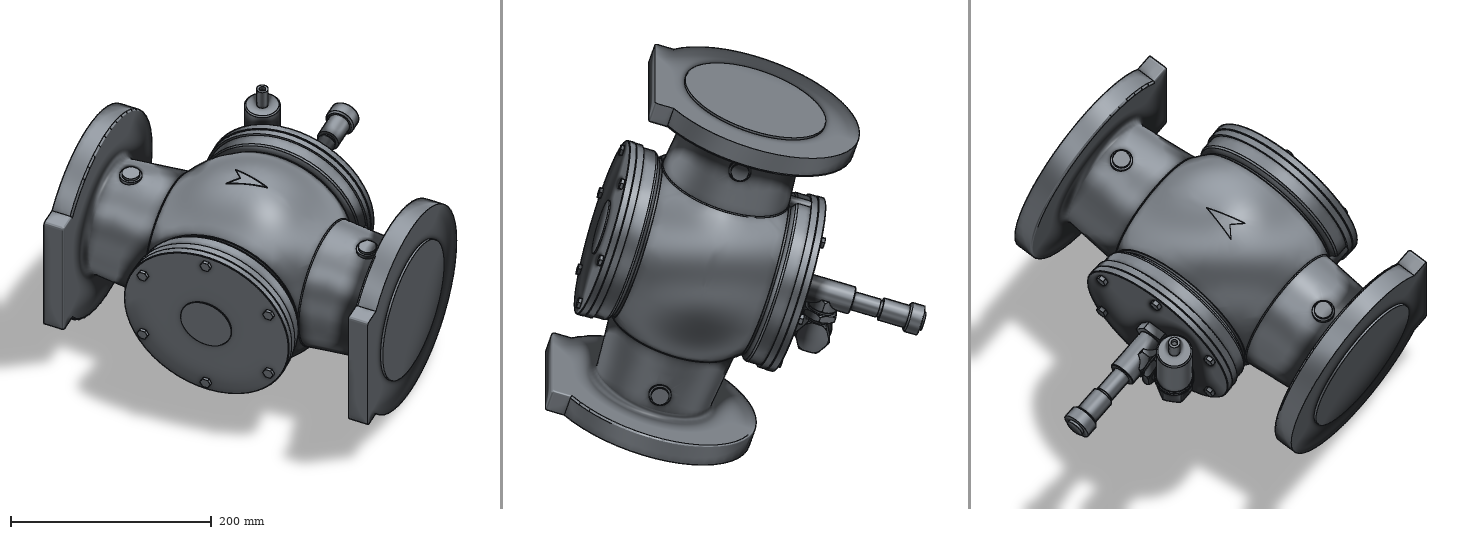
import cadquery as cq
import math

LENGTH = 360.0
FACE_HEIGHT = 2.5
FACE_RADIUS = 73.8
FLANGE_DIAMETER = 220.0
FLANGE_THICKNESS = 22.0
FLANGE_EDGE = 2.0
FOOT_HALF_HEIGHT = 70.0
FOOT_REACH = 104.8
FOOT_CORNER = 3.2

NECK_END_RADIUS = 60.5
NECK_ROOT_RADIUS = 66.2
NECK_FILLET = 7.2
NECK_ROOT_EASE = 0.7
GLOBE_RADIUS = 107.0

COLLAR_RADIUS = 82.5
COLLAR_START = 66.2
COLLAR_END = 68.8
SEAT_RADIUS = 88.0
SEAT_LIP_RADIUS = 86.8
SEAT_LIP = 72.5
SEAT_START = 74.5
SEAT_END = 88.0
GASKET_RADIUS = 90
GASKET_END = 95.0
JOINT_RADIUS = 89.0
JOINT_END = 95.8
COVER_RADIUS = 90.5
COVER_END = 103.0
COVER_EDGE = 0.7

COVER_PAD_RADIUS = 27.7
COVER_PAD_HEIGHT = 1.5

BOLT_COUNT = 6
BOLT_CIRCLE_RADIUS = 79.5
BOLT_ACROSS_CORNERS = 11.5
FRONT_BOLT_HEIGHT = 3.2
BACK_BOLT_HEIGHT = 4.5

PLUG_X = 129.5
PLUG_BASE_RADIUS = 11.0
PLUG_BASE_TOP = 64.8
PLUG_RADIUS = 9.0
PLUG_TOP = 67.5

PIN_X = 83.5
PIN_RADIUS = 7.2
PIN_START = 65.5
PIN_END_ROUND = 2.0

ARROW_TIP = 20.0
ARROW_NOTCH = 9.7
ARROW_HALF_WIDTH = 11.0
ARROW_HEIGHT = 0.9

STEM_HEX_ACROSS_CORNERS = 40.5
STEM_BLOCK_START = 112.0
STEM_BLOCK_END = 159.0
STEM_BLOCK_RADIUS = 14.0
STEM_BLOCK_EDGE = 0.7
STEM_ROD_RADIUS = 9.5
STEM_GROOVE_START = 187.0
STEM_GROOVE_END = 189.7
STEM_GROOVE_RADIUS = 8.3
STEM_SLEEVE_RADIUS = 11.5
STEM_CAP_START = 216.7
STEM_CAP_RADIUS = 15.0
STEM_CAP_END = 231.0
STEM_CAP_EDGE = 1.8
STEM_END = 234.0

ACTUATOR_X = -45.7
ACTUATOR_Y = 132.5
ACTUATOR_HEX_ACROSS_CORNERS = 36.5
ACTUATOR_HEX_BOTTOM = -13.0
HEX_CORNER_EASE = 1.8
ACTUATOR_RIM_BOTTOM = 12.0
ACTUATOR_RIM_TOP = 18.5
ACTUATOR_RIM_RADIUS = 19.8
ACTUATOR_RIM_EDGE = 1.0
ACTUATOR_RADIUS = 18.0
ACTUATOR_TOP = 80.5
ACTUATOR_EDGE = 1.5
SPINDLE_RADIUS = 5.8
SPINDLE_TOP = 102.0
SOCKET_RADIUS = 3.2
SOCKET_DEPTH = 5.5

UNION_RADIUS = 10.8
NUT_ACROSS_FLATS = 32.5
NUT_START = -25.5
NUT_END = -18.0
UNION_COLLAR_RADIUS = 13.5
UNION_HEX_START = -15.5
UNION_HEX_ACROSS_FLATS = 28.0
UNION_HEX_END = -2.5

FLANGE_FACE = LENGTH / 2 - FACE_HEIGHT
FLANGE_BACK = FLANGE_FACE - FLANGE_THICKNESS
NECK_END = FLANGE_BACK - NECK_FILLET
NECK_ROOT = math.sqrt(GLOBE_RADIUS**2 - NECK_ROOT_RADIUS**2)
BEVEL_RADIUS = NECK_ROOT_RADIUS + NECK_ROOT_EASE
BEVEL_X = math.sqrt(GLOBE_RADIUS**2 - BEVEL_RADIUS**2)
HEX_CORNER_RATIO = 2 / math.sqrt(3)


def revolve_about_y(points):
    """Revolve a closed (radius, y) outline about the Y axis."""
    return cq.Workplane("XY").polyline(points).close().revolve(360, (0, 0, 0), (0, 1, 0))


def hexagon_along_y(across_corners, start, end, x=0, z=0):
    """Hexagonal bar along Y with two corners on the X direction."""
    plane = cq.Plane(origin=(x, start, z), xDir=(1, 0, 0), normal=(0, 1, 0))
    return cq.Workplane(plane).polygon(6, across_corners).extrude(end - start)


def hexagon_along_x(across_flats, start, end, y):
    """Hexagonal bar along X with two corners on the Z direction and eased end corners."""
    across_corners = across_flats * HEX_CORNER_RATIO
    plane = cq.Plane(origin=(start, y, 0), xDir=(0, 0, 1), normal=(1, 0, 0))
    envelope = cq.Workplane(plane).circle(across_corners / 2).extrude(end - start)
    envelope = envelope.faces("<X or >X").edges().chamfer(HEX_CORNER_EASE)
    return cq.Workplane(plane).polygon(6, across_corners).extrude(end - start).intersect(envelope)


def bar_along_x(radius, start, end, y):
    """Round bar along X."""
    return cq.Workplane("YZ", origin=(start, y, 0)).circle(radius).extrude(end - start)


def post(radius, bottom, top, x, y):
    """Upright cylinder."""
    return cq.Workplane("XY", origin=(x, y, bottom)).circle(radius).extrude(top - bottom)


def make_flange():
    """Flange on the +X end: round plate squared off by a flat foot, with a raised face."""
    plate = (
        cq.Workplane("YZ", origin=(FLANGE_BACK, 0, 0))
        .circle(FLANGE_DIAMETER / 2)
        .extrude(FLANGE_THICKNESS)
    )
    foot = (
        cq.Workplane("XY", origin=(FLANGE_BACK + FLANGE_THICKNESS / 2, -FOOT_REACH / 2, 0))
        .box(FLANGE_THICKNESS, FOOT_REACH, 2 * FOOT_HALF_HEIGHT)
    )
    below_foot = cq.Workplane("XY", origin=(0, -FOOT_REACH - LENGTH / 2, 0)).box(2 * LENGTH, LENGTH, LENGTH)
    plate = plate.union(foot).cut(below_foot)
    plate = plate.edges("|X and <Y").fillet(FOOT_CORNER)
    plate = plate.faces("<X").edges().fillet(FLANGE_EDGE)
    face = cq.Workplane("YZ", origin=(FLANGE_FACE, 0, 0)).circle(FACE_RADIUS).extrude(FACE_HEIGHT)
    return plate.union(face)


def make_neck():
    """Conical neck on the +X end, bevelled at the globe and flaring into the flange."""
    sweep = NECK_FILLET * (1 - math.sqrt(0.5))
    return (
        cq.Workplane("XY")
        .lineTo(0, BEVEL_RADIUS)
        .lineTo(BEVEL_X, BEVEL_RADIUS)
        .lineTo(NECK_ROOT + NECK_ROOT_EASE, NECK_ROOT_RADIUS)
        .lineTo(NECK_END, NECK_END_RADIUS)
        .threePointArc(
            (FLANGE_BACK - sweep, NECK_END_RADIUS + sweep),
            (FLANGE_BACK, NECK_END_RADIUS + NECK_FILLET),
        )
        .lineTo(FLANGE_BACK, 0)
        .close()
        .revolve(360, (0, 0, 0), (1, 0, 0))
    )


def make_cover():
    """Waist, seat, gasket band and cover on the +Y side."""
    return revolve_about_y([
        (0, 0),
        (COLLAR_RADIUS, 0),
        (COLLAR_RADIUS, COLLAR_END),
        (SEAT_LIP_RADIUS, SEAT_LIP),
        (SEAT_RADIUS, SEAT_START),
        (SEAT_RADIUS, SEAT_END),
        (GASKET_RADIUS, SEAT_END),
        (GASKET_RADIUS, GASKET_END),
        (JOINT_RADIUS, GASKET_END),
        (JOINT_RADIUS, JOINT_END),
        (COVER_RADIUS, JOINT_END),
        (COVER_RADIUS, COVER_END - COVER_EDGE),
        (COVER_RADIUS - COVER_EDGE, COVER_END),
        (0, COVER_END),
    ])


def make_globe():
    """Spherical middle, cut off flat where the cover waists begin."""
    slab = cq.Workplane("XY").box(LENGTH, 2 * COLLAR_START, LENGTH)
    return cq.Workplane("XY").sphere(GLOBE_RADIUS).intersect(slab)


def make_bolts(start, end):
    """Ring of bolt heads, one of them at the top."""
    heads = cq.Workplane("XY")
    for index in range(BOLT_COUNT):
        angle = math.radians(90 + index * 360 / BOLT_COUNT)
        x = BOLT_CIRCLE_RADIUS * math.cos(angle)
        z = BOLT_CIRCLE_RADIUS * math.sin(angle)
        heads = heads.add(hexagon_along_y(BOLT_ACROSS_CORNERS, start, end, x, z))
    return heads


def make_plugs():
    """Stepped screw plugs running through both necks, showing above and below."""
    plugs = cq.Workplane("XY")
    for x in (-PLUG_X, PLUG_X):
        plugs = plugs.add(post(PLUG_BASE_RADIUS, -PLUG_BASE_TOP, PLUG_BASE_TOP, x, 0))
        plugs = plugs.add(post(PLUG_RADIUS, -PLUG_TOP, PLUG_TOP, x, 0))
    return plugs


def make_pin():
    """Stop pin beside the back cover on the +X side, rounded at its free end."""
    plane = cq.Plane(origin=(PIN_X, SEAT_END, 0), xDir=(1, 0, 0), normal=(0, -1, 0))
    pin = cq.Workplane(plane).circle(PIN_RADIUS).extrude(SEAT_END - PIN_START)
    return pin.faces("<Y").edges().fillet(PIN_END_ROUND)


def make_arrow():
    """Flow arrow that stands proud of the top of the globe and follows its curve."""
    outline = [
        (ARROW_TIP, 0),
        (-ARROW_TIP, ARROW_HALF_WIDTH),
        (-ARROW_NOTCH, 0),
        (-ARROW_TIP, -ARROW_HALF_WIDTH),
    ]
    prism = cq.Workplane("XY").polyline(outline).close().extrude(LENGTH)
    return prism.intersect(cq.Workplane("XY").sphere(GLOBE_RADIUS + ARROW_HEIGHT))


def turned_half_round(shape):
    """The shape rotated by half a turn about Z."""
    return shape.rotate((0, 0, 0), (0, 0, 1), 180)


def make_housing():
    globe_end = make_neck().union(make_flange())
    cover = make_cover()
    pin = make_pin()
    pad_end = COVER_END + COVER_PAD_HEIGHT
    pad = cq.Workplane("XZ").circle(COVER_PAD_RADIUS).extrude(pad_end)

    housing = make_globe().union(globe_end).union(globe_end.mirror("YZ"))
    housing = housing.union(cover).union(turned_half_round(cover))
    housing = housing.union(pin).union(turned_half_round(pin))
    housing = housing.union(pad).union(make_arrow())
    parts = [
        make_plugs(),
        make_bolts(COVER_END, COVER_END + BACK_BOLT_HEIGHT),
        make_bolts(-COVER_END - FRONT_BOLT_HEIGHT, -COVER_END),
    ]
    for part in parts:
        for solid in part.vals():
            housing = housing.union(solid)
    return housing


def make_stem():
    """Turned stem along Y, standing on a hexagon on the back cover."""
    turned = revolve_about_y([
        (0, STEM_BLOCK_START),
        (STEM_BLOCK_RADIUS - STEM_BLOCK_EDGE, STEM_BLOCK_START),
        (STEM_BLOCK_RADIUS, STEM_BLOCK_START + STEM_BLOCK_EDGE),
        (STEM_BLOCK_RADIUS, STEM_BLOCK_END - STEM_BLOCK_EDGE),
        (STEM_BLOCK_RADIUS - STEM_BLOCK_EDGE, STEM_BLOCK_END),
        (STEM_ROD_RADIUS, STEM_BLOCK_END),
        (STEM_ROD_RADIUS, STEM_GROOVE_START),
        (STEM_GROOVE_RADIUS, STEM_GROOVE_START),
        (STEM_GROOVE_RADIUS, STEM_GROOVE_END),
        (STEM_SLEEVE_RADIUS, STEM_GROOVE_END),
        (STEM_SLEEVE_RADIUS, STEM_CAP_START),
        (STEM_CAP_RADIUS - STEM_CAP_EDGE, STEM_CAP_START),
        (STEM_CAP_RADIUS, STEM_CAP_START + STEM_CAP_EDGE),
        (STEM_CAP_RADIUS, STEM_CAP_END),
        (STEM_ROD_RADIUS, STEM_CAP_END),
        (STEM_ROD_RADIUS, STEM_END),
        (0, STEM_END),
    ])
    return turned.union(hexagon_along_y(STEM_HEX_ACROSS_CORNERS, COVER_END, STEM_BLOCK_START))


def make_actuator():
    """Upright actuator: hexagon, rim, barrel and a spindle with a socket in its end."""
    hexagon = (
        cq.Workplane("XY", origin=(ACTUATOR_X, ACTUATOR_Y, ACTUATOR_HEX_BOTTOM))
        .transformed(rotate=(0, 0, 90))
        .polygon(6, ACTUATOR_HEX_ACROSS_CORNERS)
        .extrude(ACTUATOR_RIM_BOTTOM - ACTUATOR_HEX_BOTTOM)
    )
    corner_radius = ACTUATOR_HEX_ACROSS_CORNERS / 2
    envelope = post(corner_radius, ACTUATOR_HEX_BOTTOM, ACTUATOR_RIM_BOTTOM, ACTUATOR_X, ACTUATOR_Y)
    hexagon = hexagon.intersect(envelope.faces("<Z or >Z").edges().chamfer(HEX_CORNER_EASE))
    rim = post(ACTUATOR_RIM_RADIUS, ACTUATOR_RIM_BOTTOM, ACTUATOR_RIM_TOP, ACTUATOR_X, ACTUATOR_Y)
    rim = rim.faces("<Z or >Z").edges().chamfer(ACTUATOR_RIM_EDGE)
    barrel = post(ACTUATOR_RADIUS, ACTUATOR_RIM_TOP, ACTUATOR_TOP, ACTUATOR_X, ACTUATOR_Y)
    barrel = barrel.faces(">Z").edges().chamfer(ACTUATOR_EDGE)
    spindle = post(SPINDLE_RADIUS, ACTUATOR_TOP, SPINDLE_TOP, ACTUATOR_X, ACTUATOR_Y)
    socket = post(SOCKET_RADIUS, SPINDLE_TOP - SOCKET_DEPTH, SPINDLE_TOP, ACTUATOR_X, ACTUATOR_Y)
    spindle = spindle.cut(socket)
    return hexagon.union(rim).union(barrel).union(spindle)


def make_union():
    """Pipe union along X from the actuator to the stem, with its nut."""
    pipe = bar_along_x(UNION_RADIUS, ACTUATOR_X, 0, ACTUATOR_Y)
    nut = hexagon_along_x(NUT_ACROSS_FLATS, NUT_START, NUT_END, ACTUATOR_Y)
    collar = bar_along_x(UNION_COLLAR_RADIUS, NUT_END, UNION_HEX_START, ACTUATOR_Y)
    fitting = hexagon_along_x(UNION_HEX_ACROSS_FLATS, UNION_HEX_START, UNION_HEX_END, ACTUATOR_Y)
    return pipe.union(nut).union(collar).union(fitting)


def make_pilot():
    return make_stem().union(make_actuator()).union(make_union())


housing = make_housing()
pilot = make_pilot()

result = cq.Compound.makeCompound([housing.val(), pilot.val()])